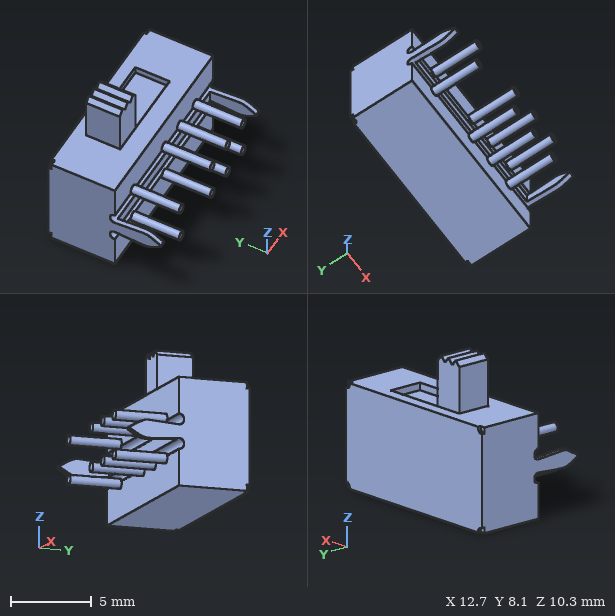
import cadquery as cq
import math


body_width = 12.7
body_depth = 4.7
body_height = 6.9
body_top = body_height / 2

slot_length = 6.38
slot_width = 2.41
slot_depth = 0.5
slot_back_margin = 0.93
slot_left = -slot_length / 2
slot_back = body_depth - slot_back_margin
slot_front = slot_back - slot_width

lever_length = 2.02
lever_width = 2.39
lever_height = 3.37
tooth_count = 3
tooth_pitch = lever_length / tooth_count
tooth_height = tooth_pitch / 2
lever_tip = body_top + lever_height

pin_diameter = 0.64
pin_length = 3.4
pin_span = 8.0
pin_columns = (-2, 0, 1, 2)
pin_pitch = pin_span / (max(pin_columns) - min(pin_columns))
pin_row_spacing = 2.51

groove_radius = 0.34
groove_offset = 0.77

sheet_thickness = 0.4
tab_root_half = groove_offset - groove_radius
tab_shoulder_half = 0.6
tab_shoulder_reach = 2.31
tab_tip_angle = 30.0
tab_shoulder_radius = 1.27
tab_tip_radius = 0.1

notch_radius = 0.4
notch_depth = 0.2


def make_housing():
    housing = cq.Workplane("XY").box(
        body_width, body_depth, body_height, centered=(True, False, True)
    )
    slot = cq.Workplane("XY").box(slot_length, slot_width, slot_depth, centered=False)
    slot = slot.translate((slot_left, slot_front, body_top - slot_depth))
    grooves = (
        cq.Workplane("YZ")
        .pushPoints([(0, -groove_offset), (0, groove_offset)])
        .circle(groove_radius)
        .extrude(body_width / 2, both=True)
    )
    notches = (
        cq.Workplane("XZ", origin=(0, body_depth, 0))
        .rect(body_width, body_height, forConstruction=True)
        .vertices()
        .circle(notch_radius)
        .extrude(notch_depth)
    )
    return housing.cut(slot).cut(grooves).cut(notches)


def make_lever():
    """Block with a row of 45 degree grip teeth along its top."""
    tooth_root = lever_tip - tooth_height
    slot_floor = body_top - slot_depth
    outline = [(slot_left, slot_floor), (slot_left, tooth_root)]
    for tooth in range(tooth_count):
        tooth_start = slot_left + tooth * tooth_pitch
        outline.append((tooth_start + tooth_pitch / 2, lever_tip))
        outline.append((tooth_start + tooth_pitch, tooth_root))
    outline.append((slot_left + lever_length, slot_floor))
    return (
        cq.Workplane("XZ", origin=(0, slot_back, 0))
        .polyline(outline)
        .close()
        .extrude(lever_width)
    )


def make_pins():
    places = [
        (column * pin_pitch, row * pin_row_spacing / 2)
        for column in pin_columns
        for row in (-1, 1)
    ]
    return (
        cq.Workplane("XZ")
        .pushPoints(places)
        .circle(pin_diameter / 2)
        .extrude(pin_length)
    )


def make_tab(left):
    """Spade shaped tab: widening to a rounded shoulder, then tapering to a blunt tip."""
    tip_reach = tab_shoulder_reach + tab_shoulder_half / math.tan(math.radians(tab_tip_angle))
    outline = [
        (groove_radius, -tab_root_half),
        (0, -tab_root_half),
        (-tab_shoulder_reach, -tab_shoulder_half),
        (-tip_reach, 0),
        (-tab_shoulder_reach, tab_shoulder_half),
        (0, tab_root_half),
        (groove_radius, tab_root_half),
    ]
    tab = (
        cq.Workplane("YZ", origin=(left, 0, 0))
        .polyline(outline)
        .close()
        .extrude(sheet_thickness)
    )
    tab = tab.edges("|X").edges("<Y").fillet(tab_tip_radius)
    return tab.edges("|X").edges(">Z or <Z").fillet(tab_shoulder_radius)


result = make_housing().union(make_lever()).union(make_pins())
for tab_left in (-body_width / 2, body_width / 2 - sheet_thickness):
    result = result.union(make_tab(tab_left))